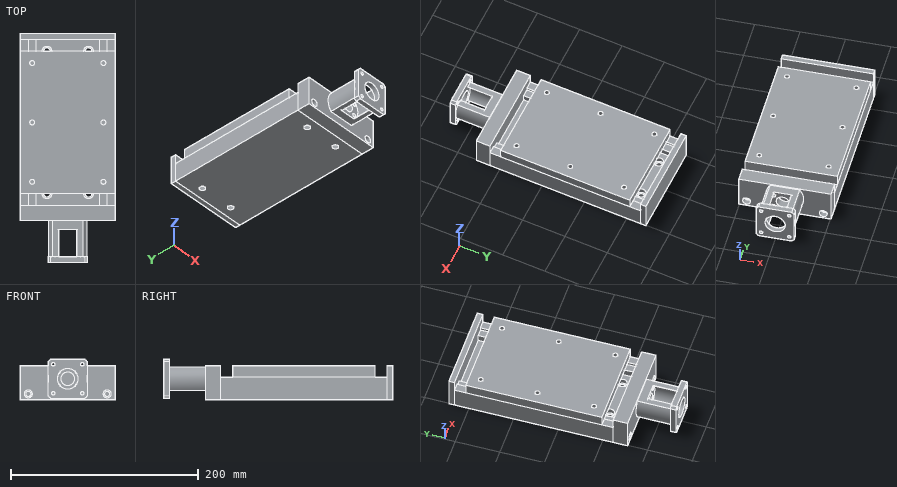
import cadquery as cq

WIDTH = 101.6
HEIGHT = 36.5
BASE_LENGTH = 177.8
END_PLATE_THICKNESS = 6.35
BEARING_BLOCK_THICKNESS = 16.2

BASE_HEIGHT = 24.3
SIDE_WALL = 8.8
FLOOR_THICKNESS = 12.7
MOUNT_HOLE_SPACING_X = 44.45
MOUNT_HOLE_SPACING_Y = 152.4
MOUNT_HOLE_DIAMETER = 7.0
MOUNT_BORE_DIAMETER = 10.5
MOUNT_BORE_DEPTH = 6.35

RAIL_WIDTH = 8.2
RAIL_HEIGHT = 8.0

CARRIAGE_LENGTH = 152.4
CARRIAGE_HOLE_SPACING_X = 76.2
CARRIAGE_HOLE_SPACING_Y = 63.5
CARRIAGE_HOLE_ROWS = 3
CARRIAGE_HOLE_DIAMETER = 5.2

BLOCK_HOLE_SPACING = 84.3
BLOCK_HOLE_Z = FLOOR_THICKNESS / 2
BLOCK_HOLE_DIAMETER = 5.5
BLOCK_BORE_DIAMETER = 8.5
BLOCK_BORE_DEPTH = 6.35

AXIS_Z = 22.52
FLANGE_SIZE = 42.0
FLANGE_CORNER_CHAMFER = 2.7
FLANGE_THICKNESS = 6.35
FLANGE_HOLE_SPACING = 31.0
FLANGE_HOLE_DIAMETER = 3.6
BRACKET_LENGTH = 44.76
TUBE_DIAMETER = 41.275
TUBE_HEIGHT = 25.4
WALL_THICKNESS = 9.525
CAVITY_DIAMETER = 31.75
MOTOR_BORE_DIAMETER = 22.0
SHAFT_BORE_DIAMETER = 14.5
WALL_HOLE_SPACING_X = 20.4
WALL_HOLE_SPACING_Z = 15.4
WALL_HOLE_DIAMETER = 4.5

BASE_FRONT_Y = -BASE_LENGTH / 2
BASE_BACK_Y = BASE_LENGTH / 2
BLOCK_FRONT_Y = BASE_FRONT_Y - BEARING_BLOCK_THICKNESS
FLANGE_FRONT_Y = BLOCK_FRONT_Y - BRACKET_LENGTH
FLANGE_BACK_Y = FLANGE_FRONT_Y + FLANGE_THICKNESS
CAVITY_BACK_Y = BLOCK_FRONT_Y - WALL_THICKNESS


def box(width, front_y, back_y, bottom_z, top_z, center_x=0):
    """Upright box between two Y stations and two Z levels."""
    return (
        cq.Workplane("XY", origin=(center_x, (front_y + back_y) / 2, bottom_z))
        .box(width, back_y - front_y, top_z - bottom_z, centered=(True, True, False))
    )


def facing_back(y, z):
    """XZ sketch plane at station y whose extrusions run toward +Y."""
    return cq.Workplane(cq.Plane(origin=(0, y, z), xDir=(-1, 0, 0), normal=(0, 1, 0)))


def make_base():
    channel_width = WIDTH - 2 * SIDE_WALL
    body = box(WIDTH, BASE_FRONT_Y, BASE_BACK_Y, 0, BASE_HEIGHT)
    channel = box(channel_width, BASE_FRONT_Y, BASE_BACK_Y, FLOOR_THICKNESS, BASE_HEIGHT)
    return (
        body.cut(channel)
        .copyWorkplane(cq.Workplane("XY", origin=(0, 0, FLOOR_THICKNESS)))
        .rarray(MOUNT_HOLE_SPACING_X, MOUNT_HOLE_SPACING_Y, 2, 2)
        .cboreHole(MOUNT_HOLE_DIAMETER, MOUNT_BORE_DIAMETER, MOUNT_BORE_DEPTH)
    )


def make_rail(side):
    center_x = side * (WIDTH / 2 - SIDE_WALL - RAIL_WIDTH / 2)
    top_z = FLOOR_THICKNESS + RAIL_HEIGHT
    return box(RAIL_WIDTH, BASE_FRONT_Y, BASE_BACK_Y, FLOOR_THICKNESS, top_z, center_x)


def make_end_plate():
    return box(WIDTH, BASE_BACK_Y, BASE_BACK_Y + END_PLATE_THICKNESS, 0, HEIGHT)


def make_bearing_block():
    body = box(WIDTH, BLOCK_FRONT_Y, BASE_FRONT_Y, 0, HEIGHT)
    return (
        body.copyWorkplane(cq.Workplane("XZ", origin=(0, BLOCK_FRONT_Y, BLOCK_HOLE_Z)))
        .rarray(BLOCK_HOLE_SPACING, 1, 2, 1)
        .cboreHole(BLOCK_HOLE_DIAMETER, BLOCK_BORE_DIAMETER, BLOCK_BORE_DEPTH)
    )


def make_carriage():
    body = box(WIDTH, -CARRIAGE_LENGTH / 2, CARRIAGE_LENGTH / 2, BASE_HEIGHT, HEIGHT)
    return (
        body.copyWorkplane(cq.Workplane("XY", origin=(0, 0, HEIGHT)))
        .rarray(CARRIAGE_HOLE_SPACING_X, CARRIAGE_HOLE_SPACING_Y, 2, CARRIAGE_HOLE_ROWS)
        .hole(CARRIAGE_HOLE_DIAMETER)
    )


def make_flange():
    return (
        facing_back(FLANGE_FRONT_Y, AXIS_Z)
        .rect(FLANGE_SIZE, FLANGE_SIZE)
        .extrude(FLANGE_THICKNESS)
        .edges("|Y")
        .chamfer(FLANGE_CORNER_CHAMFER)
    )


def make_tube():
    tube_length = BLOCK_FRONT_Y - FLANGE_BACK_Y
    cylinder = facing_back(FLANGE_BACK_Y, AXIS_Z).circle(TUBE_DIAMETER / 2).extrude(tube_length)
    flats = facing_back(FLANGE_BACK_Y, AXIS_Z).rect(TUBE_DIAMETER, TUBE_HEIGHT).extrude(tube_length)
    return cylinder.intersect(flats)


def make_bracket():
    body = make_flange().union(make_tube())
    motor_bore = (
        facing_back(FLANGE_FRONT_Y, AXIS_Z)
        .circle(MOTOR_BORE_DIAMETER / 2)
        .extrude(FLANGE_THICKNESS)
    )
    cavity = (
        facing_back(FLANGE_BACK_Y, AXIS_Z)
        .circle(CAVITY_DIAMETER / 2)
        .extrude(CAVITY_BACK_Y - FLANGE_BACK_Y)
    )
    shaft_bore = (
        facing_back(CAVITY_BACK_Y, AXIS_Z).circle(SHAFT_BORE_DIAMETER / 2).extrude(WALL_THICKNESS)
    )
    flange_holes = (
        facing_back(FLANGE_FRONT_Y, AXIS_Z)
        .rarray(FLANGE_HOLE_SPACING, FLANGE_HOLE_SPACING, 2, 2)
        .circle(FLANGE_HOLE_DIAMETER / 2)
        .extrude(FLANGE_THICKNESS)
    )
    wall_holes = (
        facing_back(CAVITY_BACK_Y, AXIS_Z)
        .rarray(WALL_HOLE_SPACING_X, WALL_HOLE_SPACING_Z, 2, 2)
        .circle(WALL_HOLE_DIAMETER / 2)
        .extrude(WALL_THICKNESS)
    )
    for opening in (motor_bore, cavity, shaft_bore, flange_holes, wall_holes):
        body = body.cut(opening)
    return body


base = make_base()
rails = [make_rail(side) for side in (-1, 1)]
end_plate = make_end_plate()
bearing_block = make_bearing_block()
carriage = make_carriage()
bracket = make_bracket()

result = cq.Compound.makeCompound([
    base.val(),
    *[rail.val() for rail in rails],
    end_plate.val(),
    bearing_block.val(),
    carriage.val(),
    bracket.val(),
])